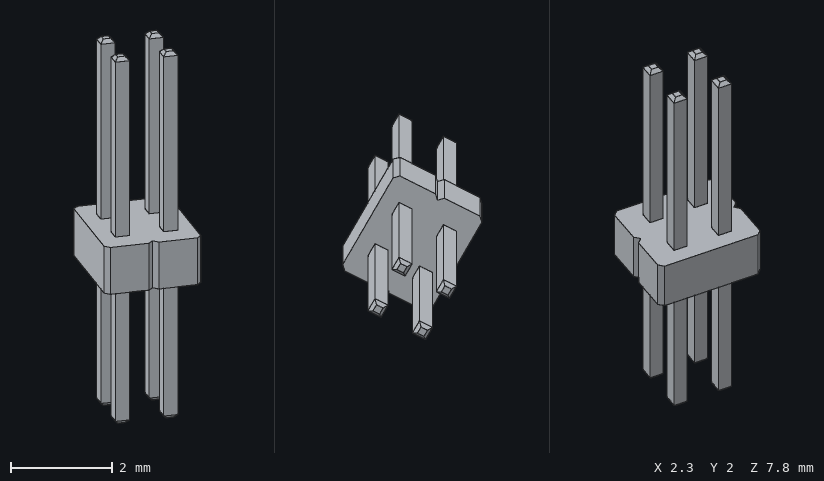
import cadquery as cq

pin_length = 7.8
pin_width = 0.3
pin_pitch = 1.0
pins_per_side = 2

body_length = 2.3
body_width = pins_per_side * pin_pitch
body_height = 1.0
body_bottom = 3.0
corner_cut = 0.1

tip_height = 0.08
tip_width = pin_width / 2


def make_body():
    """Block with cut corners and a V notch between the rows at each end."""
    half_x = body_length / 2
    half_y = body_width / 2
    right_end = [
        (half_x - corner_cut, -half_y),
        (half_x, -half_y + corner_cut),
        (half_x, -corner_cut),
        (half_x - corner_cut, 0),
        (half_x, corner_cut),
        (half_x, half_y - corner_cut),
        (half_x - corner_cut, half_y),
    ]
    left_end = [(-x, -y) for x, y in right_end]
    return (
        cq.Workplane("XY", origin=(0, 0, body_bottom))
        .polyline(right_end + left_end)
        .close()
        .extrude(body_height)
    )


def make_tip(base_height, direction):
    """Square taper from the pin shank to its end; direction is +1 up, -1 down."""
    return (
        cq.Workplane("XY", origin=(0, 0, base_height))
        .rect(pin_width, pin_width)
        .workplane(offset=direction * tip_height)
        .rect(tip_width, tip_width)
        .loft(ruled=True)
    )


def make_pin():
    """Square pin, tapered at both ends."""
    shank = (
        cq.Workplane("XY", origin=(0, 0, tip_height))
        .rect(pin_width, pin_width)
        .extrude(pin_length - 2 * tip_height)
    )
    return shank.union(make_tip(pin_length - tip_height, 1)).union(make_tip(tip_height, -1))


result = make_body()
pin = make_pin()
first_pin = -(pins_per_side - 1) * pin_pitch / 2
for column in range(pins_per_side):
    for row in range(pins_per_side):
        x = first_pin + column * pin_pitch
        y = first_pin + row * pin_pitch
        result = result.union(pin.translate((x, y, 0)))